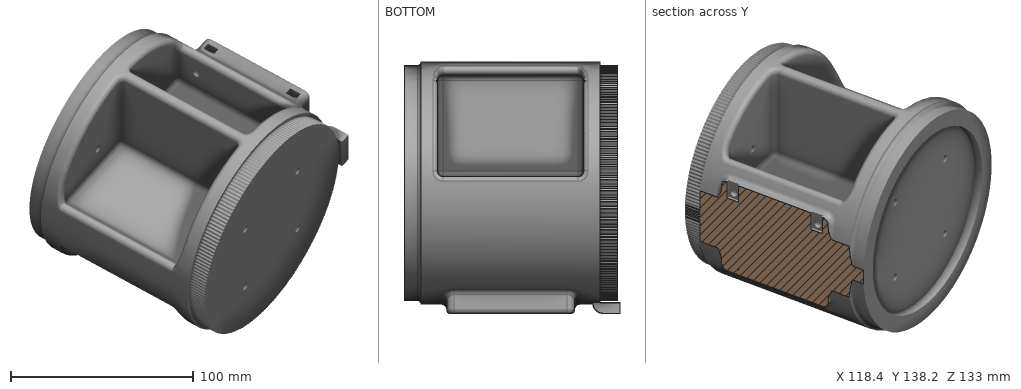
import cadquery as cq
import math

spigot_radius = 129 / 2
drum_radius = 133 / 2
shoulder_x = 9.2
drum_end_x = 107.4
shoulder_fillet = drum_radius - spigot_radius
recess_radius = 110 / 2
recess_depth = 5.0

knurl_end_x = 117.0
knurl_outer_radius = spigot_radius
tooth_count = 200
tooth_height = 0.4

long_hole_diameter = 4.2
long_hole_offset = 25.0

mid_x = (shoulder_x + drum_end_x) / 2
pocket_length = 80.0
rib_thickness = 7.0
wall_y = rib_thickness / 2
floor_height = 8.6
front_pocket_width = 55.7
back_pocket_width = 47.5
floor_fillet = 3.0
upper_rim_fillet = 3.0
lower_rim_fillet = 2.5

block_length = 70.0
block_height = 60.0
block_face_y = 71.65
block_corner_fillet = 4.0
block_edge_fillet = 2.0
block_foot_fillet = 3.0

screw_spacing = 55.0
screw_height = 22.5
screw_diameter = 4.0
nut_slot_width = 7.0
nut_slot_thickness = 4.3
nut_slot_mid_y = 65.2

pointer_start_x = 103.3
pointer_end_x = 118.4
pointer_width = 21.4
pointer_nose_radius = 6.0
pointer_base_y = math.sqrt(drum_radius**2 - (pointer_width / 2) ** 2)

cut_margin = 10.0
select_margin = 0.1


def make_drum():
    """Spigot and drum, joined by a concave round at the shoulder."""
    fillet_start_x = shoulder_x - shoulder_fillet
    diagonal = shoulder_fillet * math.sqrt(0.5)
    arc_mid = (fillet_start_x + diagonal, drum_radius - diagonal)
    profile = (
        cq.Workplane("XY")
        .lineTo(0, spigot_radius)
        .lineTo(fillet_start_x, spigot_radius)
        .threePointArc(arc_mid, (shoulder_x, drum_radius))
        .lineTo(drum_end_x, drum_radius)
        .lineTo(drum_end_x, 0)
        .close()
    )
    return profile.revolve(360, (0, 0, 0), (1, 0, 0))


def is_on_drum(edge):
    """True where the middle of the edge lies on the drum's cylinder."""
    middle = edge.positionAt(0.5)
    return abs(math.hypot(middle.y, middle.z) - drum_radius) < select_margin


def is_at_block(edge):
    """True where the edge lies within the block's length and height."""
    box = edge.BoundingBox()
    return (
        box.ymin > 0
        and box.xmin > mid_x - block_length / 2 - select_margin
        and box.xmax < mid_x + block_length / 2 + select_margin
        and box.zmax < block_height / 2 + select_margin
        and box.zmin > -block_height / 2 - select_margin
    )


def add_block(body):
    """Rounded block on the +Y side, blended into the drum."""
    block = (
        cq.Workplane("XY")
        .box(block_length, block_face_y, block_height, centered=(True, False, True))
        .translate((mid_x, 0, 0))
        .edges("|Y")
        .fillet(block_corner_fillet)
        .faces(">Y")
        .edges()
        .fillet(block_edge_fillet)
    )
    joined = body.union(block)
    foot_edges = joined.newObject(
        [edge for edge in joined.edges().vals() if is_on_drum(edge) and is_at_block(edge)]
    )
    return foot_edges.fillet(block_foot_fillet)


def is_at_pocket(edge, y_start, y_end, side):
    """True where the edge lies within the pocket's length and width, on its side of Z = 0."""
    box = edge.BoundingBox()
    return (
        side * edge.Center().z > floor_height
        and box.xmin > mid_x - pocket_length / 2 - select_margin
        and box.xmax < mid_x + pocket_length / 2 + select_margin
        and box.ymin > y_start - select_margin
        and box.ymax < y_end + select_margin
    )


def cut_pocket(body, y_start, y_end, side, rim_fillet):
    """Box pocket open towards side * Z, rounded at its floor, corners and rim."""
    floor_side = "<Z" if side > 0 else ">Z"
    depth = drum_radius + cut_margin - floor_height
    pocket = (
        cq.Workplane("XY")
        .box(pocket_length, y_end - y_start, depth)
        .edges(f"|Z or {floor_side}")
        .fillet(floor_fillet)
        .translate((mid_x, (y_start + y_end) / 2, side * (floor_height + depth / 2)))
    )
    cut = body.cut(pocket)
    rim = [
        edge
        for edge in cut.edges().vals()
        if is_on_drum(edge) and is_at_pocket(edge, y_start, y_end, side)
    ]
    return cut.newObject(rim).fillet(rim_fillet)


def cut_screw_holes(body):
    """Screw holes from the back pocket through the block, each with a nut slot from the top."""
    slot_bottom = screw_height - nut_slot_width / 2
    slot_height = block_height / 2 - slot_bottom
    for side in (-1, 1):
        x = mid_x + side * screw_spacing / 2
        hole = cq.Solid.makeCylinder(
            screw_diameter / 2,
            block_face_y - wall_y,
            cq.Vector(x, wall_y, screw_height),
            cq.Vector(0, 1, 0),
        )
        slot = (
            cq.Workplane("XY")
            .box(nut_slot_width, nut_slot_thickness, slot_height, centered=(True, True, False))
            .translate((x, nut_slot_mid_y, slot_bottom))
        )
        body = body.cut(cq.Workplane(hole)).cut(slot)
    return body


def make_knurl():
    """Ring of pointed teeth."""
    points = []
    for i in range(2 * tooth_count):
        radius = knurl_outer_radius - tooth_height * (i % 2)
        angle = math.pi * i / tooth_count
        points.append((radius * math.cos(angle), radius * math.sin(angle)))
    return (
        cq.Workplane("YZ", origin=(drum_end_x, 0, 0))
        .polyline(points)
        .close()
        .extrude(knurl_end_x - drum_end_x)
    )


def make_pointer():
    """Flat bar standing on the drum, with a rounded nose."""
    length = pointer_end_x - pointer_start_x
    height = block_face_y - pointer_base_y
    bar = (
        cq.Workplane("XY")
        .box(length, height, pointer_width, centered=(False, False, True))
        .edges("<X and >Y")
        .fillet(pointer_nose_radius)
    )
    return bar.translate((pointer_start_x, pointer_base_y, 0))


def cut_recess(body):
    """Round recess in the left face."""
    recess = cq.Workplane("YZ").circle(recess_radius).extrude(recess_depth)
    return body.cut(recess)


def cut_long_holes(body):
    """Four holes running the whole length of the drum."""
    holes = (
        cq.Workplane("YZ")
        .rect(2 * long_hole_offset, 2 * long_hole_offset, forConstruction=True)
        .vertices()
        .circle(long_hole_diameter / 2)
        .extrude(pointer_end_x)
    )
    return body.cut(holes)


front_pocket_span = (-wall_y - front_pocket_width, -wall_y)
back_pocket_span = (wall_y, wall_y + back_pocket_width)

result = add_block(make_drum())
result = cut_pocket(result, *front_pocket_span, 1, upper_rim_fillet)
result = cut_pocket(result, *back_pocket_span, 1, upper_rim_fillet)
result = cut_pocket(result, *front_pocket_span, -1, lower_rim_fillet)
result = cut_screw_holes(result)
result = result.union(make_knurl()).union(make_pointer())
result = cut_recess(result)
result = cut_long_holes(result)